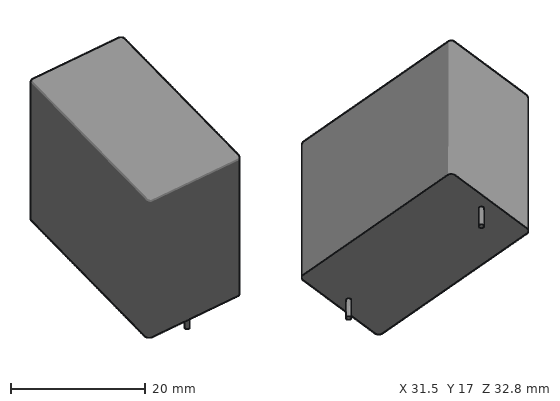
import cadquery as cq

housing_length = 31.5
housing_width = 17.0
housing_height = 29.0
edge_radius = 0.8

lead_pitch = 27.5
lead_diameter = 0.8
lead_length = 3.8


def make_housing():
    """Box with rounded upright and top edges and a sharp-edged flat bottom."""
    box = cq.Workplane("XY").box(
        housing_length, housing_width, housing_height, centered=(True, True, False)
    )
    return box.edges("|Z or >Z").fillet(edge_radius)


def make_lead(x):
    """Round pin hanging from the bottom of the housing at the given X."""
    return cq.Workplane("XY").center(x, 0).circle(lead_diameter / 2).extrude(-lead_length)


housing = make_housing()
leads = [make_lead(side * lead_pitch / 2) for side in (-1, 1)]

result = cq.Compound.makeCompound([housing.val(), *[lead.val() for lead in leads]])